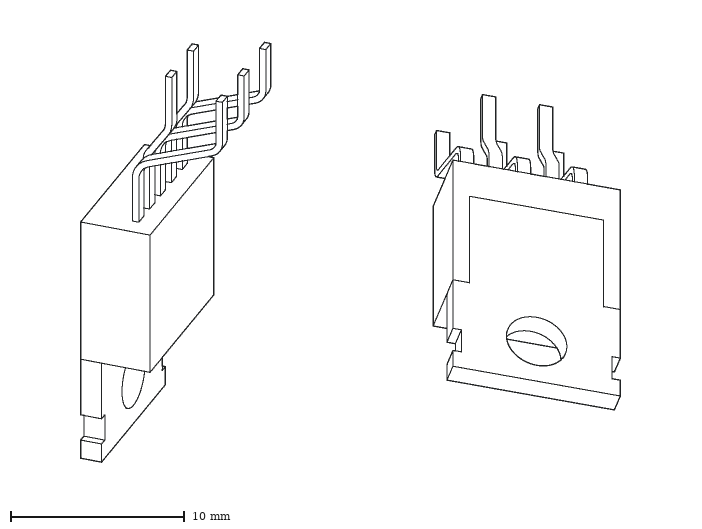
import cadquery as cq
import math


housing_thickness = 4.3
housing_width = 10.0
housing_height = 9.0

tab_thickness = 1.3
tab_exposed_height = 6.5
tab_embedded_height = 6.5
tab_embedded_width = 8.0
hole_diameter = 3.6
hole_height = 3.0
notch_depth = 0.5
notch_bottom = 1.2
notch_height = 1.65

lead_count = 5
lead_pitch = 1.7
lead_width = 0.8
lead_thickness = 0.4
lead_center_x = 2.93
total_height = 24.4
tight_bend_radius = 0.8
wide_bend_radius = 1.2

long_lead_offset = 5.17
long_lead_tilt = 69.0
long_lead_bend_start = 18.33
short_lead_offset = 1.37
short_lead_tilt = 35.0
short_lead_bend_start = 18.73

housing_bottom = tab_exposed_height
housing_top = housing_bottom + housing_height


def upright_block(thickness, width, height, bottom):
    """Block with its back on X = 0, centered on Y, standing on Z = bottom."""
    block = cq.Workplane("XY").box(thickness, width, height, centered=(False, True, False))
    return block.translate((0, 0, bottom))


def embedded_tab():
    """The stretch of tab that fills the recess in the housing."""
    return upright_block(tab_thickness, tab_embedded_width, tab_embedded_height, housing_bottom)


def make_housing():
    body = upright_block(housing_thickness, housing_width, housing_height, housing_bottom)
    return body.cut(embedded_tab())


def make_tab():
    plate = upright_block(tab_thickness, housing_width, tab_exposed_height, 0)
    plate = plate.union(embedded_tab())

    hole = (
        cq.Workplane("YZ")
        .center(0, hole_height)
        .circle(hole_diameter / 2)
        .extrude(tab_thickness)
    )
    plate = plate.cut(hole)

    for side in (-1, 1):
        notch = upright_block(tab_thickness, 2 * notch_depth, notch_height, notch_bottom)
        plate = plate.cut(notch.translate((0, side * housing_width / 2, 0)))
    return plate


def make_lead(y, offset, tilt, bend_start, lower_radius, upper_radius):
    """Flat lead rising from the housing, leaning toward +X by offset, then upright again."""
    angle = math.radians(tilt)
    bend_run = 1 - math.cos(angle)
    bend_rise = math.sin(angle)
    slope_length = (offset - (lower_radius + upper_radius) * bend_run) / math.sin(angle)

    slope_start = (
        lead_center_x + lower_radius * bend_run,
        bend_start + lower_radius * bend_rise,
    )
    slope_end = (
        slope_start[0] + slope_length * math.sin(angle),
        slope_start[1] + slope_length * math.cos(angle),
    )
    upper_end = (lead_center_x + offset, slope_end[1] + upper_radius * bend_rise)

    centerline = (
        cq.Workplane("XZ", origin=(0, y, 0))
        .moveTo(lead_center_x, housing_top)
        .lineTo(lead_center_x, bend_start)
        .tangentArcPoint(slope_start, relative=False)
        .lineTo(*slope_end)
        .tangentArcPoint(upper_end, relative=False)
        .lineTo(upper_end[0], total_height)
    )
    section = cq.Workplane("XY", origin=(lead_center_x, y, housing_top)).rect(lead_thickness, lead_width)
    return section.sweep(centerline)


def make_long_lead(y):
    return make_lead(
        y, long_lead_offset, long_lead_tilt, long_lead_bend_start, wide_bend_radius, tight_bend_radius
    )


def make_short_lead(y):
    return make_lead(
        y, short_lead_offset, short_lead_tilt, short_lead_bend_start, tight_bend_radius, wide_bend_radius
    )


housing = make_housing()
tab = make_tab()

leads = []
for index in range(lead_count):
    lead_y = (index - (lead_count - 1) / 2) * lead_pitch
    make_one = make_long_lead if index % 2 == 0 else make_short_lead
    leads.append(make_one(lead_y))

result = cq.Compound.makeCompound([housing.val(), tab.val(), *[lead.val() for lead in leads]])